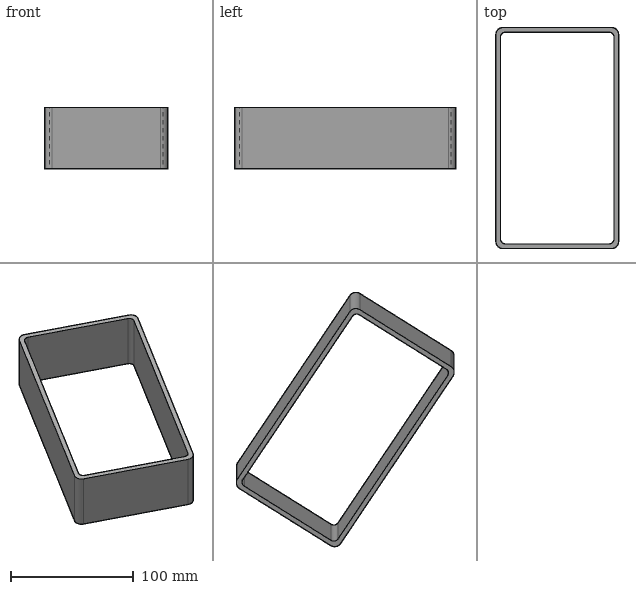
import cadquery as cq

width = 100.0
length = 180.0
height = 50.0

wall = 4.0
outer_radius = 6.0
inner_radius = 4.0


def rounded_block(size_x, size_y, corner_radius):
    """Full-height block, centred on the Z axis, with rounded vertical edges."""
    block = cq.Workplane("XY").rect(size_x, size_y).extrude(height)
    return block.edges("|Z").fillet(corner_radius)


outer_body = rounded_block(width, length, outer_radius)
through_opening = rounded_block(width - 2 * wall, length - 2 * wall, inner_radius)

result = outer_body.cut(through_opening)